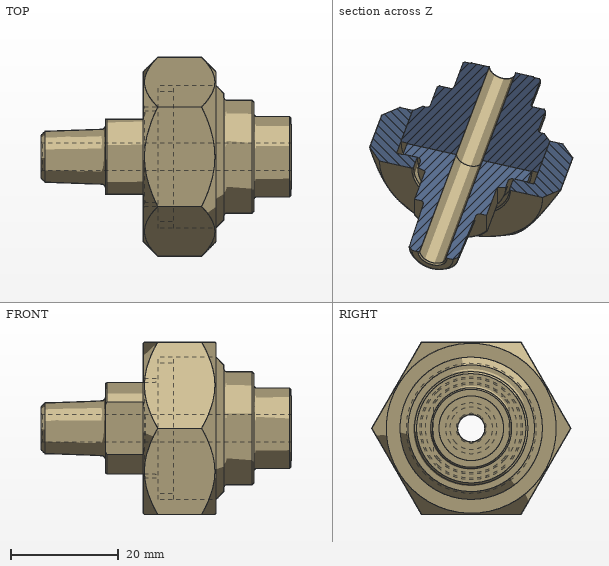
import cadquery as cq
import math


total_length = 46.5
bore_diameter = 5.0

nut_start = 18.95
nut_end = 32.5
nut_across_flats = 32.0
nut_face_diameter = 31.55
nut_opening_diameter = 18.5
nut_opening_chamfer = 0.3
nut_lip_thickness = 2.8
thread_diameter = 26.4
nut_lip_end = nut_start + nut_lip_thickness
nut_corner_diameter = nut_across_flats / math.cos(math.radians(30))

tip_diameter = 9.5
taper_end_diameter = 10.25
taper_end = 11.25
tip_chamfer = 0.8
bore_chamfer = 0.3
collar_start = 11.95
collar_diameter = 17.0
collar_chamfer = 0.3
wrench_flat_width = 14.0
wrench_flat_end = nut_start
flat_runout_angle = 17.0
flange_diameter = 24.15
flange_thickness = 2.8
flange_fillet = 0.75
flange_end = nut_lip_end + flange_thickness

cone_end = 33.95
cone_end_diameter = 23.5
shoulder_diameter = 21.0
shoulder_end = 39.52
shoulder_chamfer = 0.35
shoulder_fillet = 0.55
spigot_diameter = 15.0
spigot_fillet = 0.4
spigot_chamfer = 0.3
end_boss_diameter = 12.0
end_boss_height = 0.15
spigot_end = total_length - end_boss_height


def revolve_about_x(profile):
    """Revolve a closed (x, radius) sketch a full turn about X."""
    return profile.close().revolve(360, (0, 0, 0), (1, 0, 0))


def cylinder_along_x(diameter, start, end):
    return cq.Workplane("YZ", origin=(start, 0, 0)).circle(diameter / 2).extrude(end - start)


def concave_corner(profile, end_x, end_radius, radius, center_x, center_radius, middle_angle):
    """Add a quarter-round arc to the given end point, about its center, past the middle angle."""
    angle = math.radians(middle_angle)
    middle = (center_x + radius * math.cos(angle), center_radius + radius * math.sin(angle))
    return profile.threePointArc(middle, (end_x, end_radius))


def make_tailpiece():
    taper_radius = taper_end_diameter / 2
    collar_radius = collar_diameter / 2
    root_fillet = collar_start - taper_end
    bore_radius = bore_diameter / 2

    profile = (
        cq.Workplane("XY")
        .moveTo(bore_chamfer, bore_radius)
        .lineTo(0, bore_radius + bore_chamfer)
        .lineTo(0, tip_diameter / 2 - tip_chamfer)
        .lineTo(tip_chamfer, tip_diameter / 2)
        .lineTo(taper_end, taper_radius)
    )
    profile = concave_corner(
        profile, collar_start, taper_radius + root_fillet,
        root_fillet, taper_end, taper_radius + root_fillet, -45,
    )
    profile = (
        profile.lineTo(collar_start, collar_radius - collar_chamfer)
        .lineTo(collar_start + collar_chamfer, collar_radius)
        .lineTo(nut_lip_end - flange_fillet, collar_radius)
    )
    profile = concave_corner(
        profile, nut_lip_end, collar_radius + flange_fillet,
        flange_fillet, nut_lip_end - flange_fillet, collar_radius + flange_fillet, -45,
    )
    profile = (
        profile.lineTo(nut_lip_end, flange_diameter / 2)
        .lineTo(flange_end, flange_diameter / 2)
        .lineTo(flange_end, bore_radius)
    )
    tailpiece = revolve_about_x(profile)

    flat_y = wrench_flat_width / 2
    runout_length = (collar_radius - flat_y) * math.tan(math.radians(flat_runout_angle))
    flat_cutter = (
        cq.Workplane("XY")
        .moveTo(collar_start, flat_y)
        .lineTo(wrench_flat_end, flat_y)
        .lineTo(wrench_flat_end + runout_length, collar_radius)
        .lineTo(collar_start, collar_radius)
        .close()
        .extrude(collar_radius, both=True)
    )
    return tailpiece.cut(flat_cutter).cut(flat_cutter.mirror("XZ"))


def make_nut():
    length = nut_end - nut_start
    blank = (
        cq.Workplane("YZ", origin=(nut_start, 0, 0))
        .polygon(6, nut_corner_diameter)
        .extrude(length)
    )
    corner_chamfer = (nut_corner_diameter - nut_face_diameter) / 2
    envelope = (
        cylinder_along_x(nut_corner_diameter, nut_start, nut_end)
        .edges("%CIRCLE")
        .chamfer(corner_chamfer)
    )
    opening = cylinder_along_x(nut_opening_diameter, nut_start, nut_lip_end)
    threaded_bore = cylinder_along_x(thread_diameter, nut_lip_end, nut_end)
    return (
        blank.intersect(envelope)
        .cut(opening)
        .cut(threaded_bore)
        .faces("<X")
        .edges(cq.selectors.RadiusNthSelector(0))
        .chamfer(nut_opening_chamfer)
    )


def make_socket_end():
    shoulder_radius = shoulder_diameter / 2
    spigot_radius = spigot_diameter / 2
    bore_radius = bore_diameter / 2

    profile = (
        cq.Workplane("XY")
        .moveTo(flange_end, bore_radius)
        .lineTo(flange_end, thread_diameter / 2)
        .lineTo(nut_end, thread_diameter / 2)
        .lineTo(cone_end, cone_end_diameter / 2)
        .lineTo(cone_end, shoulder_radius + shoulder_fillet)
    )
    profile = concave_corner(
        profile, cone_end + shoulder_fillet, shoulder_radius,
        shoulder_fillet, cone_end + shoulder_fillet, shoulder_radius + shoulder_fillet, 225,
    )
    profile = (
        profile.lineTo(shoulder_end - shoulder_chamfer, shoulder_radius)
        .lineTo(shoulder_end, shoulder_radius - shoulder_chamfer)
        .lineTo(shoulder_end, spigot_radius + spigot_fillet)
    )
    profile = concave_corner(
        profile, shoulder_end + spigot_fillet, spigot_radius,
        spigot_fillet, shoulder_end + spigot_fillet, spigot_radius + spigot_fillet, 225,
    )
    profile = (
        profile.lineTo(spigot_end - spigot_chamfer, spigot_radius)
        .lineTo(spigot_end, spigot_radius - spigot_chamfer)
        .lineTo(spigot_end, end_boss_diameter / 2)
        .lineTo(total_length, end_boss_diameter / 2)
        .lineTo(total_length, bore_radius)
    )
    return revolve_about_x(profile)


tailpiece = make_tailpiece()
nut = make_nut()
socket_end = make_socket_end()

result = cq.Compound.makeCompound([tailpiece.val(), nut.val(), socket_end.val()])